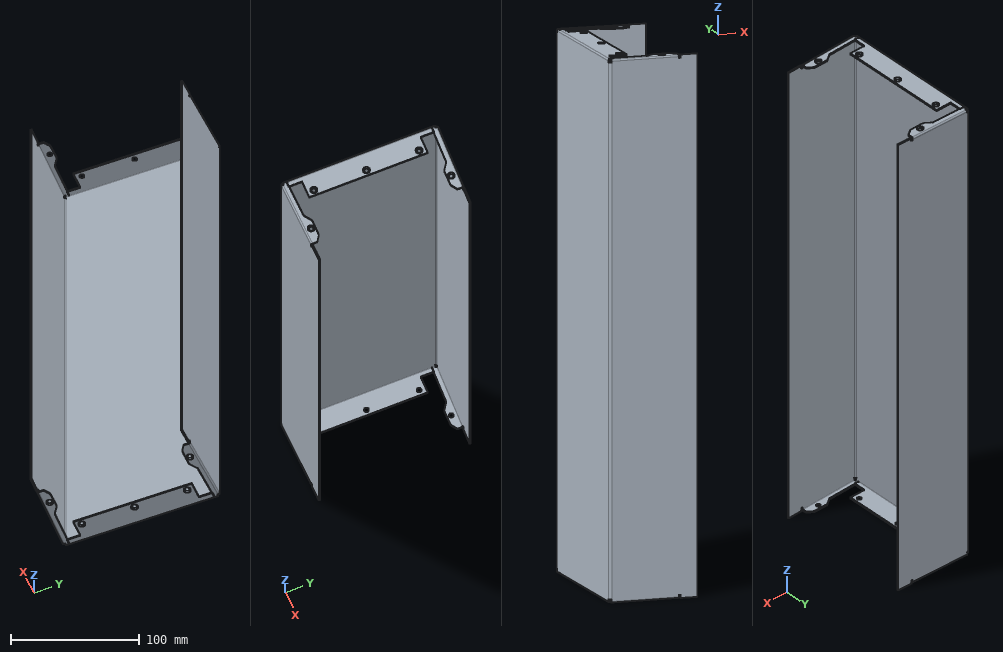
import cadquery as cq

depth = 73.0
width = 132.5
height = 431.5

sheet = 1.2
corner_radius = 2.0
flange_radius = 1.5
side_lean = 2.05

lip_depth = 5.0
tab_depth = 20.0
tab_width = 100.0
tab_hole_x = 15.5
tab_hole_pitch = 44.5

flange_end_x = 58.0
strip_width = 5.0
lug_start_x = 32.8
lug_flat_start_x = 39.3
lug_flat_end_x = 52.5
lug_flat_y = 55.5
lug_end_y = 59.0
lug_hole_x = 45.5
lug_hole_y = 59.0

hole_diameter = 3.6
countersink_diameter = 5.5

seam_y = 61.3
seam_width = 0.25

relief_depth = 2.5
relief_width = 1.5


def wall_y(x):
    """Outer half width of the cover at a given depth."""
    return width / 2 - side_lean * (x - corner_radius) / (depth - corner_radius)


def tapered_block(front_x, inset):
    """Block between the leaning side walls, moved inward by the inset on its sides, top and bottom."""
    front_y = wall_y(front_x) - inset
    back_y = wall_y(depth) - inset
    outline = [(front_x, -front_y), (depth, -back_y), (depth, back_y), (front_x, front_y)]
    block = cq.Workplane("XY").polyline(outline).close().extrude(height - 2 * inset)
    return block.translate((0, 0, inset))


def rounded_block(inset):
    """Tapered block, moved inward by the inset, with every edge rounded except those of its back face."""
    block = tapered_block(inset, inset)
    block = block.edges("|Z and <X").fillet(corner_radius - inset)
    return block.faces("<Z or >Z").edges("not >X").fillet(flange_radius - inset)


def flange_opening():
    """Cutter for the part of the top and bottom plates that lies inside the flanges."""
    strip_y = wall_y(lip_depth) - strip_width
    half = [
        (tab_depth, 0),
        (tab_depth, tab_width / 2),
        (lip_depth, tab_width / 2),
        (lip_depth, strip_y),
        (lug_start_x, wall_y(lug_start_x) - strip_width),
        (lug_flat_start_x, lug_flat_y),
        (lug_flat_end_x, lug_flat_y),
        (flange_end_x, lug_end_y),
        (flange_end_x, width),
        (depth, width),
        (depth, 0),
    ]
    opening = cq.Workplane("XY").polyline(half).close().extrude(height)
    return opening.union(opening.mirror("XZ"))


def free_walls():
    """Square-edged ends of the side walls, behind the side flanges."""
    outer = tapered_block(flange_end_x, 0)
    half = [
        (flange_end_x, 0),
        (depth, 0),
        (depth, wall_y(depth) - sheet),
        (flange_end_x, wall_y(flange_end_x) - sheet),
    ]
    gap = cq.Workplane("XY").polyline(half).close().extrude(height)
    return outer.cut(gap).cut(gap.mirror("XZ"))


def bend_reliefs():
    """Cutters at the top and bottom: corners, seams beside the front lip and slots behind the side flanges."""
    cutters = cq.Workplane("XY")
    for side in (-1, 1):
        for z in (0, height):
            corner = cq.Workplane("XY").box(2 * corner_radius, 2 * corner_radius, 2 * relief_depth)
            cutters = cutters.add(corner.translate((0, side * width / 2, z)))
            seam = cq.Workplane("XY").box(
                lip_depth - flange_radius, seam_width, 2 * relief_depth, centered=(False, True, True)
            )
            seam = seam.translate((flange_radius, side * seam_y, z))
            cutters = cutters.add(seam)
            slot = cq.Workplane("XY").box(relief_width, lip_depth, 2 * relief_depth, centered=(False, True, True))
            cutters = cutters.add(slot.translate((flange_end_x, side * wall_y(flange_end_x), z)))
    return cutters.combine()


def drill_flanges(body):
    """Countersunk holes in the top and bottom flanges, sunk from the outside."""
    points = [(tab_hole_x, side * tab_hole_pitch) for side in (-1, 0, 1)]
    points += [(lug_hole_x, side * lug_hole_y) for side in (-1, 1)]
    drills = cq.Workplane("XY").pushPoints(points).circle(hole_diameter / 2).extrude(height)
    sink_depth = (countersink_diameter - hole_diameter) / 2
    for x, y in points:
        cone = cq.Solid.makeCone(
            countersink_diameter / 2, hole_diameter / 2, sink_depth, cq.Vector(x, y, 0), cq.Vector(0, 0, 1)
        )
        drills = drills.union(cq.Workplane(cone))
        drills = drills.union(cq.Workplane(cone).mirror("XY", (0, 0, height / 2)))
    return body.cut(drills)


shell = rounded_block(0).cut(rounded_block(sheet))
shell = shell.cut(flange_opening()).union(free_walls())
shell = shell.cut(bend_reliefs())
result = drill_flanges(shell)